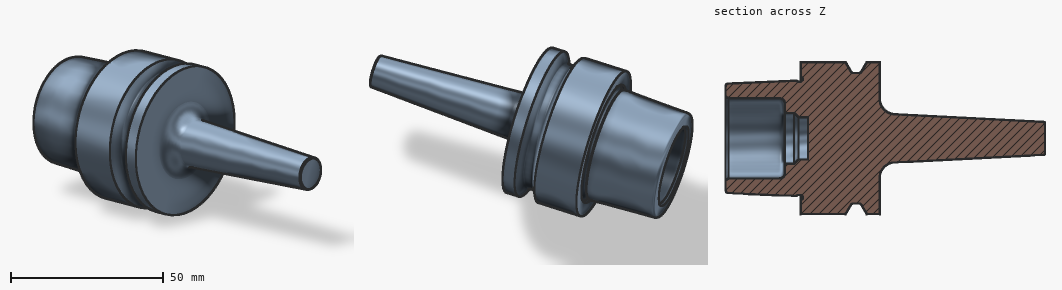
import cadquery as cq
import math

total_length = 104.9

mouth_rounding = 0.9
taper_small_radius = 18.0
taper_end = 22.9
seat_radius = 19.0
seat_end = 23.4

neck_start = 23.7
neck_end = 24.3
neck_radius = 18.7
undercut_fillet = 1.0
undercut_outer_radius = 20.4

flange_start = 24.7
flange_end = 50.7
flange_diameter = 50.0
flange_radius = flange_diameter / 2
groove_start = 39.4
groove_end = 46.4
groove_floor_radius = 21.5
groove_flank_angle = 30.0
groove_fillet = 0.7

nose_root_radius = 8.0
nose_tip_radius = 5.5
nose_root_fillet = 5.0
tip_chamfer = 0.3

bore_radius = 13.1
bore_mouth_radius = 13.7
bore_chamfer_length = 0.9
bore_depth = 19.4
bore_floor_fillet = 1.6

pilot_radius = 8.3
pilot_chamfer = 0.2
pilot_length = 3.1
blind_hole_radius = 6.9
blind_hole_length = 3.1


def arc_point(center, radius, angle):
    """Point on a circle, with the angle in degrees from +X."""
    return (
        center[0] + radius * math.cos(math.radians(angle)),
        center[1] + radius * math.sin(math.radians(angle)),
    )


def add_arc(profile, center, radius, start_angle, end_angle):
    """Run the profile to the start of an arc and then along it."""
    middle_angle = (start_angle + end_angle) / 2
    return profile.lineTo(*arc_point(center, radius, start_angle)).threePointArc(
        arc_point(center, radius, middle_angle),
        arc_point(center, radius, end_angle),
    )


def revolve_about_axis(profile):
    return profile.close().revolve(360, (0, 0, 0), (1, 0, 0))


def add_taper_shank(profile):
    mouth_center = (mouth_rounding, taper_small_radius - mouth_rounding)
    profile = add_arc(profile, mouth_center, mouth_rounding, 180, 90)
    return profile.lineTo(taper_end, seat_radius).lineTo(seat_end, seat_radius)


def add_undercut(profile):
    fillet_center = (neck_end, neck_radius + undercut_fillet)
    profile = profile.lineTo(neck_start, neck_radius)
    profile = add_arc(profile, fillet_center, undercut_fillet, 270, 360)
    return profile.lineTo(flange_start, undercut_outer_radius)


def add_gripper_groove(profile):
    flank_run = (flange_radius - groove_floor_radius) * math.tan(math.radians(groove_flank_angle))
    corner_setback = groove_fillet * math.tan(math.radians(90 - groove_flank_angle) / 2)
    fillet_center_radius = groove_floor_radius + groove_fillet
    left_center = (groove_start + flank_run + corner_setback, fillet_center_radius)
    right_center = (groove_end - flank_run - corner_setback, fillet_center_radius)

    profile = profile.lineTo(groove_start, flange_radius)
    profile = add_arc(profile, left_center, groove_fillet, 180 + groove_flank_angle, 270)
    profile = add_arc(profile, right_center, groove_fillet, 270, 360 - groove_flank_angle)
    return profile.lineTo(groove_end, flange_radius)


def add_nose(profile):
    nose_length = total_length - flange_end - nose_root_fillet
    taper_angle = math.degrees(math.atan((nose_root_radius - nose_tip_radius) / nose_length))
    fillet_center = (flange_end + nose_root_fillet, nose_root_radius + nose_root_fillet)
    profile = add_arc(profile, fillet_center, nose_root_fillet, 180, 270 - taper_angle)
    return (
        profile.lineTo(total_length - tip_chamfer, nose_tip_radius)
        .lineTo(total_length, nose_tip_radius - tip_chamfer)
        .lineTo(total_length, 0)
    )


def outer_body():
    profile = cq.Workplane("XY").moveTo(0, 0)
    profile = add_taper_shank(profile)
    profile = add_undercut(profile)
    profile = profile.lineTo(flange_start, flange_radius)
    profile = add_gripper_groove(profile)
    profile = profile.lineTo(flange_end, flange_radius)
    profile = add_nose(profile)
    return revolve_about_axis(profile)


def stepped_bore():
    floor_center = (bore_depth - bore_floor_fillet, bore_radius - bore_floor_fillet)
    pilot_end = bore_depth + pilot_length
    cone_end = pilot_end + pilot_radius - blind_hole_radius
    hole_end = cone_end + blind_hole_length

    profile = (
        cq.Workplane("XY")
        .moveTo(0, 0)
        .lineTo(0, bore_mouth_radius)
        .lineTo(bore_chamfer_length, bore_radius)
    )
    profile = add_arc(profile, floor_center, bore_floor_fillet, 90, 0)
    profile = (
        profile.lineTo(bore_depth, pilot_radius + pilot_chamfer)
        .lineTo(bore_depth + pilot_chamfer, pilot_radius)
        .lineTo(pilot_end, pilot_radius)
        .lineTo(cone_end, blind_hole_radius)
        .lineTo(hole_end, blind_hole_radius)
        .lineTo(hole_end, 0)
    )
    return revolve_about_axis(profile)


result = outer_body().cut(stepped_bore())